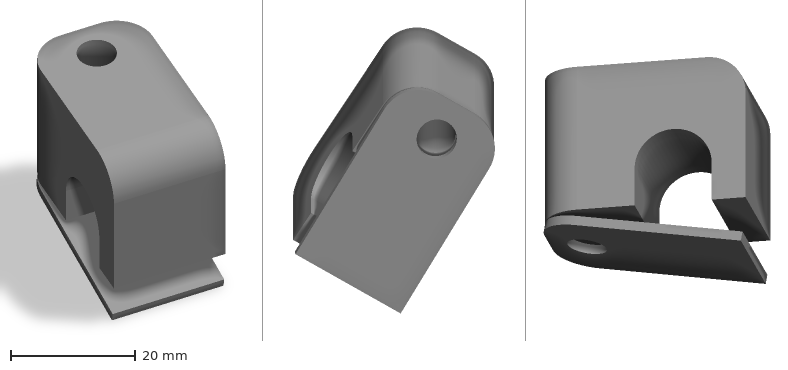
import cadquery as cq

length = 34.15
width = 19.85
block_height = 24.65
corner_radius = 6.4

slot_width = 12.7
slot_height = 12.7
slot_center_x = 22.25

hole_diameter = 6.5
hole_center_x = 6.4

plate_thickness = 1.58
plate_tilt = 10.0
plate_overlap = 0.05


def rounded_slab(thickness):
    """Slab with rounded vertical corners at its X = 0 end and a screw hole."""
    slab = cq.Workplane("XY").box(length, width, thickness, centered=(False, True, False))
    slab = slab.edges("|Z and <X").fillet(corner_radius)
    hole = cq.Workplane("XY").center(hole_center_x, 0).circle(hole_diameter / 2).extrude(thickness)
    return slab.cut(hole)


def cross_slot():
    """Round-topped cutter running through the block along Y."""
    radius = slot_width / 2
    straight_height = slot_height - radius
    return (
        cq.Workplane("XZ", origin=(slot_center_x, 0, 0))
        .moveTo(-radius, 0)
        .lineTo(-radius, straight_height)
        .threePointArc((0, slot_height), (radius, straight_height))
        .lineTo(radius, 0)
        .close()
        .extrude(width / 2, both=True)
    )


block = rounded_slab(block_height).edges(">X and >Z").fillet(corner_radius)
block = block.cut(cross_slot())

plate = (
    rounded_slab(plate_thickness)
    .translate((0, 0, -plate_thickness))
    .rotate((0, 0, 0), (0, 1, 0), plate_tilt)
    .translate((plate_overlap, 0, plate_overlap))
)

result = block.union(plate)